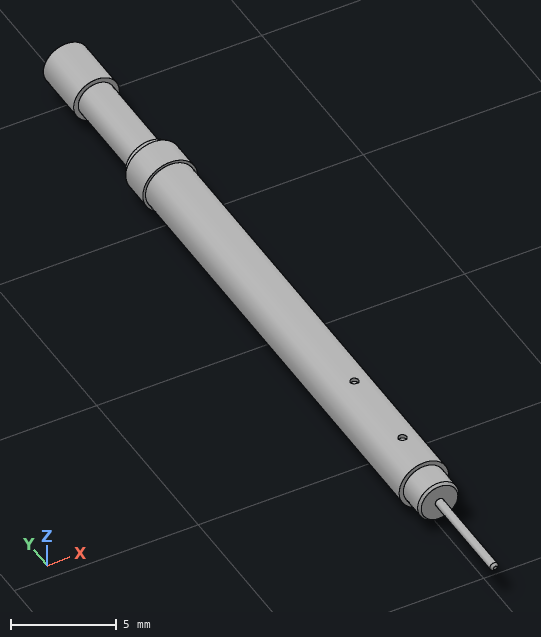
import cadquery as cq

overall_length = 42.3

pin_diameter = 0.45
tail_diameter = 2.25
barrel_diameter = 2.7
collar_diameter = 3.0
neck_diameter = 2.0
head_diameter = 2.5

pin_length = 5.5
tail_length = 1.52
collar_length = 2.07
neck_length = 5.2
head_length = 3.0
barrel_length = overall_length - pin_length - tail_length - collar_length - neck_length - head_length

pin_chamfer = 0.13
tail_chamfer = 0.13
collar_chamfer_length = 0.4
collar_chamfer_height = 0.2

dimple_diameter = 0.42
dimple_depth = 0.2
dimple_spacing = 4.75
first_dimple_from_barrel_end = 2.1


def round_step(start, length, diameter):
    """Cylinder on the Y axis, running from start toward +Y."""
    profile_plane = cq.Workplane("XZ", origin=(0, start, 0))
    return profile_plane.circle(diameter / 2).extrude(-length)


def make_dimple(y):
    """Blind round cutter that enters the top of the barrel at y."""
    floor = barrel_diameter / 2 - dimple_depth
    return cq.Workplane("XY", origin=(0, y, floor)).circle(dimple_diameter / 2).extrude(2 * dimple_depth)


tail_start = pin_length
barrel_start = tail_start + tail_length
collar_start = barrel_start + barrel_length
neck_start = collar_start + collar_length
head_start = neck_start + neck_length

pin = round_step(0, pin_length, pin_diameter).faces("<Y").chamfer(pin_chamfer)
tail = round_step(tail_start, tail_length, tail_diameter).faces("<Y").chamfer(tail_chamfer)
barrel = round_step(barrel_start, barrel_length, barrel_diameter)
neck = round_step(neck_start, neck_length, neck_diameter)
head = round_step(head_start, head_length, head_diameter)

collar_radius = collar_diameter / 2
collar = (
    cq.Workplane("XY")
    .moveTo(0, collar_start)
    .lineTo(collar_radius, collar_start)
    .lineTo(collar_radius, neck_start - collar_chamfer_length)
    .lineTo(collar_radius - collar_chamfer_height, neck_start)
    .lineTo(0, neck_start)
    .close()
    .revolve(360, (0, 0, 0), (0, 1, 0))
)

result = pin.union(tail).union(barrel).union(collar).union(neck).union(head)

for dimple_index in range(2):
    dimple_y = barrel_start + first_dimple_from_barrel_end + dimple_index * dimple_spacing
    result = result.cut(make_dimple(dimple_y))